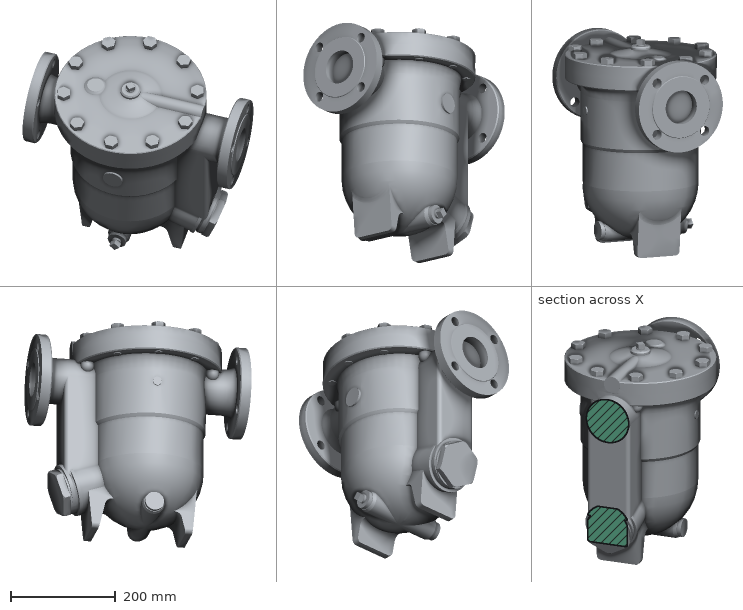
import cadquery as cq
import math


UPPER_RADIUS = 114.6
LOWER_RADIUS = 110.6
NECK_RADIUS = 119.0
STEP_TOP_Z = -93.5
STEP_BOTTOM_Z = -100.0
DOME_CENTER_Z = -174.0

LID_DIAMETER = 290.0
FLANGE_BOTTOM_Z = 25.5
PARTING_Z = 49.0
LID_TOP_Z = 73.3
FLANGE_BOTTOM_CHAMFER = 2.0
LID_TOP_CHAMFER = 1.5

BOLT_COUNT = 10
BOLT_CIRCLE_RADIUS = 127.5
BOLT_ACROSS_FLATS = 24.0
BOLT_HEAD_HEIGHT = 10.5
BOLT_HEAD_CHAMFER = 0.8
BOLT_DIAMETER = 16.0
BOLT_END_LENGTH = 1.2
BOLT_BOSS_DIAMETER = 26.0
BOLT_BOSS_DOME_Z = 20.0

CONE_BASE_RADIUS = 59.5
CONE_SHOULDER_RADIUS = 54.6
CONE_SHOULDER_HEIGHT = 1.2
HUB_DIAMETER = 38.0
HUB_BOTTOM_Z = 82.0
HUB_TOP_Z = 89.0
HUB_CHAMFER = 2.5
VENT_NECK_DIAMETER = 16.0
VENT_HEAD_BOTTOM_Z = 91.0
VENT_HEAD_TOP_Z = 100.2
VENT_SQUARE = 13.0
RIB_RADIUS = 16.5
RIB_CREST_Z = 82.0
LID_PAD_X = -69.5
LID_PAD_BASE_DIAMETER = 44.0
LID_PAD_SHOULDER_DIAMETER = 36.0
LID_PAD_SHOULDER_HEIGHT = 2.8
LID_PAD_TOP_DIAMETER = 32.0
LID_PAD_HEIGHT = 4.3

FACE_TO_FACE = 410.0
PIPE_CENTER_X = 15.0
PIPE_DIAMETER = 88.0
PIPE_BORE = 65.0
END_FLANGE_DIAMETER = 175.0
END_FLANGE_THICKNESS = 22.0
RAISED_FACE_DIAMETER = 120.0
RAISED_FACE_HEIGHT = 1.5
RAISED_FACE_TOP_DIAMETER = 118.0
END_FLANGE_CHAMFER = 2.0
HUB_END_DIAMETER = 96.0
HUB_LENGTH = 20.0
FLANGE_HOLE_DIAMETER = 19.0
FLANGE_HOLE_CIRCLE = 140.0
FLANGE_HOLE_COUNT = 4

PASSAGE_HALF_WIDTH = 43.8
PASSAGE_END_X = 166.0
PASSAGE_EDGE_RADIUS = 8.0
PASSAGE_LOW_Z = -195.0
PASSAGE_SEAM_RADIUS = 12.0

STRAINER_SLOPE = 19.0
STRAINER_X = 168.0
STRAINER_Z = -226.7
BRANCH_RADIUS = 49.5
BRANCH_LENGTH = 110.0
COLLAR_RADIUS = 51.0
COLLAR_START = -28.0
COLLAR_END = -22.0
GASKET_RADIUS = 45.0
SEAT_RADIUS = 48.5
SEAT_RISE = 4.0
SEAT_START = -17.0
SEAT_END = -10.0
PLUG_START = -6.5
PLUG_END = 7.5
PLUG_CORNER_DIAMETER = 95.0
PLUG_CHAMFER = 3.0

FOOT_WIDTH = 88.0
FOOT_BOTTOM_Z = -307.0
FOOT_CORNER_RADIUS = 9.0
FOOT_OUTER_OFFSET = 97.5
FOOT_INNER_OFFSET = 84.3
FOOT_OUTER_LEAN = 0.095
FOOT_INNER_LEAN = 0.245
FOOT_TOP_Z = -200.0
FOOT_SEAM_RADIUS = 17.0
FOOT_SEAM_LOW_Z = -250.0
FOOT_SEAM_INNER_X = -85.0

DRAIN_Z = -263.0
DRAIN_BOSS_DIAMETER = 43.0
DRAIN_BOSS_HALF_LENGTH = 82.0
DRAIN_BOSS_STRAIGHT_HALF_LENGTH = 75.5
DRAIN_BOSS_END_DIAMETER = 38.0
DRAIN_PLUG_DIAMETER = 36.0
DRAIN_PLUG_END = 90.0
DRAIN_NECK_DIAMETER = 18.0
DRAIN_SQUARE = 14.0
DRAIN_SQUARE_START = 94.5
DRAIN_SQUARE_END = 105.5

FRONT_PAD_DIAMETER = 38.0
FRONT_PAD_Z = -46.0
FRONT_PAD_REACH = 118.0
REAR_PAD_DIAMETER = 17.0
REAR_PAD_Z = -29.0
REAR_PAD_REACH = 116.8


def cylinder(start, direction, radius, length):
    return cq.Workplane(obj=cq.Solid.makeCylinder(radius, length, cq.Vector(*start), cq.Vector(*direction)))


def bolt_positions():
    for index in range(BOLT_COUNT):
        angle = math.radians(90 + index * 360 / BOLT_COUNT)
        x = BOLT_CIRCLE_RADIUS * math.cos(angle)
        y = BOLT_CIRCLE_RADIUS * math.sin(angle)
        yield x, y, index * 360 / BOLT_COUNT


def make_vessel():
    dome_drop = LOWER_RADIUS * math.sin(math.radians(45))
    neck_middle_radius = UPPER_RADIUS + (NECK_RADIUS - UPPER_RADIUS) / 4
    return (
        cq.Workplane("XZ")
        .moveTo(0, DOME_CENTER_Z - LOWER_RADIUS)
        .threePointArc((dome_drop, DOME_CENTER_Z - dome_drop), (LOWER_RADIUS, DOME_CENTER_Z))
        .lineTo(LOWER_RADIUS, STEP_BOTTOM_Z)
        .lineTo(UPPER_RADIUS, STEP_TOP_Z)
        .lineTo(UPPER_RADIUS, 0)
        .threePointArc((neck_middle_radius, FLANGE_BOTTOM_Z / 2), (NECK_RADIUS, FLANGE_BOTTOM_Z))
        .lineTo(0, FLANGE_BOTTOM_Z)
        .close()
        .revolve(360, (0, 0), (0, 1))
    )


def make_lid():
    lower = (
        cq.Workplane("XY", origin=(0, 0, FLANGE_BOTTOM_Z))
        .circle(LID_DIAMETER / 2)
        .extrude(PARTING_Z - FLANGE_BOTTOM_Z)
        .faces("<Z")
        .chamfer(FLANGE_BOTTOM_CHAMFER)
    )
    upper = (
        cq.Workplane("XY", origin=(0, 0, PARTING_Z))
        .circle(LID_DIAMETER / 2)
        .extrude(LID_TOP_Z - PARTING_Z)
        .faces(">Z")
        .chamfer(LID_TOP_CHAMFER)
    )
    return lower.union(upper, clean=False)


def make_bolt(x, y, turn):
    corner_radius = BOLT_ACROSS_FLATS / math.sqrt(3)
    head = (
        cq.Workplane("XY", origin=(x, y, LID_TOP_Z))
        .transformed(rotate=(0, 0, turn))
        .polygon(6, 2 * corner_radius)
        .extrude(BOLT_HEAD_HEIGHT)
    )
    rounding = (
        cq.Workplane("XY", origin=(x, y, LID_TOP_Z))
        .circle(corner_radius)
        .extrude(BOLT_HEAD_HEIGHT)
        .faces(">Z")
        .chamfer(BOLT_HEAD_CHAMFER, corner_radius - BOLT_ACROSS_FLATS / 2)
    )
    shank_bottom = FLANGE_BOTTOM_Z - BOLT_END_LENGTH
    shank = cylinder((x, y, shank_bottom), (0, 0, 1), BOLT_DIAMETER / 2, LID_TOP_Z - shank_bottom)
    return head.intersect(rounding).union(shank)


def make_bolt_boss(x, y):
    radius = BOLT_BOSS_DIAMETER / 2
    post = cylinder((x, y, BOLT_BOSS_DOME_Z), (0, 0, 1), radius, PARTING_Z - BOLT_BOSS_DOME_Z)
    dome = cq.Workplane("XY", origin=(x, y, BOLT_BOSS_DOME_Z)).sphere(radius)
    return post.union(dome)


def make_lid_center():
    hub_radius = HUB_DIAMETER / 2
    cone = (
        cq.Workplane("XZ")
        .moveTo(0, PARTING_Z)
        .lineTo(CONE_BASE_RADIUS, PARTING_Z)
        .lineTo(CONE_BASE_RADIUS, LID_TOP_Z)
        .lineTo(CONE_SHOULDER_RADIUS, LID_TOP_Z + CONE_SHOULDER_HEIGHT)
        .lineTo(hub_radius, HUB_BOTTOM_Z)
        .lineTo(hub_radius, HUB_TOP_Z - HUB_CHAMFER)
        .lineTo(hub_radius - HUB_CHAMFER, HUB_TOP_Z)
        .lineTo(0, HUB_TOP_Z)
        .close()
        .revolve(360, (0, 0), (0, 1))
    )
    neck = cylinder((0, 0, HUB_TOP_Z), (0, 0, 1), VENT_NECK_DIAMETER / 2, VENT_HEAD_BOTTOM_Z - HUB_TOP_Z)
    head = (
        cq.Workplane("XY", origin=(0, 0, VENT_HEAD_BOTTOM_Z))
        .transformed(rotate=(0, 0, 45))
        .rect(VENT_SQUARE, VENT_SQUARE)
        .extrude(VENT_HEAD_TOP_Z - VENT_HEAD_BOTTOM_Z)
    )
    return cone.union(neck).union(head)


def make_lid_rib():
    return (
        cq.Workplane("YZ", origin=(0, 0, RIB_CREST_Z - RIB_RADIUS))
        .circle(RIB_RADIUS)
        .extrude(LID_DIAMETER / 2)
    )


def make_lid_pad():
    shoulder_z = LID_TOP_Z + LID_PAD_SHOULDER_HEIGHT
    return (
        cq.Workplane("XZ", origin=(LID_PAD_X, 0, 0))
        .moveTo(0, LID_TOP_Z)
        .lineTo(LID_PAD_BASE_DIAMETER / 2, LID_TOP_Z)
        .lineTo(LID_PAD_SHOULDER_DIAMETER / 2, shoulder_z)
        .lineTo(LID_PAD_TOP_DIAMETER / 2, LID_TOP_Z + LID_PAD_HEIGHT)
        .lineTo(0, LID_TOP_Z + LID_PAD_HEIGHT)
        .close()
        .revolve(360, (0, 0), (0, 1))
    )


def make_pipe_end(side):
    """One pipe half with its weld-neck hub and flange; side is -1 (inlet) or +1 (outlet)."""
    face = FACE_TO_FACE / 2 + side * PIPE_CENTER_X
    rim_face = face - RAISED_FACE_HEIGHT
    flange_back = face - END_FLANGE_THICKNESS
    hub_start = flange_back - HUB_LENGTH
    pipe_radius = PIPE_DIAMETER / 2
    rim_radius = END_FLANGE_DIAMETER / 2
    hub_middle_radius = pipe_radius + (HUB_END_DIAMETER - PIPE_DIAMETER) / 8
    body = (
        cq.Workplane("XY")
        .moveTo(0, 0)
        .lineTo(0, pipe_radius)
        .lineTo(hub_start, pipe_radius)
        .threePointArc((hub_start + HUB_LENGTH / 2, hub_middle_radius), (flange_back, HUB_END_DIAMETER / 2))
        .lineTo(flange_back, rim_radius - END_FLANGE_CHAMFER)
        .lineTo(flange_back + END_FLANGE_CHAMFER, rim_radius)
        .lineTo(rim_face, rim_radius)
        .lineTo(rim_face, RAISED_FACE_DIAMETER / 2)
        .lineTo(face, RAISED_FACE_TOP_DIAMETER / 2)
        .lineTo(face, 0)
        .close()
        .revolve(360, (0, 0), (1, 0))
    )
    holes = (
        cq.Workplane("YZ", origin=(flange_back, 0, 0))
        .polarArray(FLANGE_HOLE_CIRCLE / 2, 45, 360, FLANGE_HOLE_COUNT)
        .circle(FLANGE_HOLE_DIAMETER / 2)
        .extrude(END_FLANGE_THICKNESS)
    )
    body = body.cut(holes)
    return body if side > 0 else body.mirror("YZ")


def make_bore(side):
    face = side * FACE_TO_FACE / 2 + PIPE_CENTER_X
    return cylinder((face, 0, 0), (-side, 0, 0), PIPE_BORE / 2, END_FLANGE_THICKNESS)


def strainer_point(station):
    slope = math.radians(STRAINER_SLOPE)
    return STRAINER_X + station * math.cos(slope), STRAINER_Z - station * math.sin(slope)


def make_passage():
    outline = [
        (0, 0),
        (PASSAGE_END_X, 0),
        (PASSAGE_END_X, PASSAGE_LOW_Z),
        strainer_point(COLLAR_START),
        strainer_point(-BRANCH_LENGTH),
        (0, DOME_CENTER_Z),
    ]
    return (
        cq.Workplane("XZ")
        .polyline(outline)
        .close()
        .extrude(PASSAGE_HALF_WIDTH, both=True)
        .edges("|Z and >X")
        .fillet(PASSAGE_EDGE_RADIUS)
    )


def strainer_axis():
    slope = math.radians(STRAINER_SLOPE)
    return cq.Vector(math.cos(slope), 0, -math.sin(slope))


def strainer_cylinder(radius, start, end, rise=0):
    """Cylinder along the branch axis, optionally raised square to that axis."""
    slope = math.radians(STRAINER_SLOPE)
    x, z = strainer_point(start)
    center = (x + rise * math.sin(slope), 0, z + rise * math.cos(slope))
    return cylinder(center, strainer_axis().toTuple(), radius, end - start)


def make_passage_and_branch():
    branch = strainer_cylinder(BRANCH_RADIUS, -BRANCH_LENGTH, COLLAR_START)
    joined = make_passage().union(branch)
    seam = cq.selectors.ParallelDirSelector(strainer_axis())
    return joined.edges(seam).edges(">Y or <Y").fillet(PASSAGE_SEAM_RADIUS)


def make_strainer_plug():
    slope = math.radians(STRAINER_SLOPE)
    axis = strainer_axis()
    collar = strainer_cylinder(COLLAR_RADIUS, COLLAR_START, COLLAR_END)
    gasket = strainer_cylinder(GASKET_RADIUS, COLLAR_END, PLUG_START)
    seat = strainer_cylinder(SEAT_RADIUS, SEAT_START, SEAT_END, SEAT_RISE)
    x, z = strainer_point(PLUG_START)
    hex_plane = cq.Plane(
        origin=(x, 0, z), xDir=(math.sin(slope), 0, math.cos(slope)), normal=axis.toTuple()
    )
    thickness = PLUG_END - PLUG_START
    rounding = (
        cq.Workplane(hex_plane)
        .circle(PLUG_CORNER_DIAMETER / 2)
        .extrude(thickness)
        .faces(cq.selectors.DirectionMinMaxSelector(axis))
        .chamfer(PLUG_CHAMFER)
    )
    plug = cq.Workplane(hex_plane).polygon(6, PLUG_CORNER_DIAMETER).extrude(thickness).intersect(rounding)
    return collar.union(gasket).union(seat).union(plug)


def make_foot(side, blend_start_z, blend_end_offset):
    """Leaning foot whose inner side blends by an arc into the dome."""
    half_width = FOOT_WIDTH / 2
    blend_start_offset = FOOT_INNER_OFFSET - FOOT_INNER_LEAN * (blend_start_z - FOOT_BOTTOM_Z)
    top_outer_offset = FOOT_OUTER_OFFSET + FOOT_OUTER_LEAN * (FOOT_TOP_Z - FOOT_BOTTOM_Z)
    blend_end_x = PIPE_CENTER_X + side * blend_end_offset
    blend_end_z = DOME_CENTER_Z - math.sqrt(LOWER_RADIUS**2 - half_width**2 - blend_end_x**2)

    def x_at(offset):
        return PIPE_CENTER_X + side * offset

    return (
        cq.Workplane("XZ")
        .moveTo(x_at(FOOT_OUTER_OFFSET), FOOT_BOTTOM_Z)
        .lineTo(x_at(FOOT_INNER_OFFSET), FOOT_BOTTOM_Z)
        .lineTo(x_at(blend_start_offset), blend_start_z)
        .tangentArcPoint((blend_end_x, blend_end_z), relative=False)
        .lineTo(blend_end_x, FOOT_TOP_Z)
        .lineTo(x_at(top_outer_offset), FOOT_TOP_Z)
        .close()
        .extrude(half_width, both=True)
        .faces("<Z")
        .edges("|X")
        .fillet(FOOT_CORNER_RADIUS)
    )


def make_drain():
    boss = (
        cq.Workplane("YZ", origin=(0, 0, DRAIN_Z))
        .moveTo(-DRAIN_BOSS_HALF_LENGTH, 0)
        .lineTo(-DRAIN_BOSS_HALF_LENGTH, DRAIN_BOSS_END_DIAMETER / 2)
        .lineTo(-DRAIN_BOSS_STRAIGHT_HALF_LENGTH, DRAIN_BOSS_DIAMETER / 2)
        .lineTo(DRAIN_BOSS_STRAIGHT_HALF_LENGTH, DRAIN_BOSS_DIAMETER / 2)
        .lineTo(DRAIN_BOSS_HALF_LENGTH, DRAIN_BOSS_END_DIAMETER / 2)
        .lineTo(DRAIN_BOSS_HALF_LENGTH, 0)
        .close()
        .revolve(360, (0, 0), (1, 0))
    )
    plugs = (
        cq.Workplane("XZ", origin=(0, 0, DRAIN_Z))
        .circle(DRAIN_PLUG_DIAMETER / 2)
        .extrude(DRAIN_PLUG_END, both=True)
    )
    neck = cylinder((0, 0, DRAIN_Z), (0, -1, 0), DRAIN_NECK_DIAMETER / 2, DRAIN_SQUARE_START)
    square = (
        cq.Workplane("XZ", origin=(0, -DRAIN_SQUARE_START, DRAIN_Z))
        .transformed(rotate=(0, 0, 45))
        .rect(DRAIN_SQUARE, DRAIN_SQUARE)
        .extrude(DRAIN_SQUARE_END - DRAIN_SQUARE_START)
    )
    return boss.union(plugs).union(neck).union(square)


def make_side_pads():
    front = cylinder((0, 0, FRONT_PAD_Z), (0, -1, 0), FRONT_PAD_DIAMETER / 2, FRONT_PAD_REACH)
    rear = cylinder((0, 0, REAR_PAD_Z), (0, 1, 0), REAR_PAD_DIAMETER / 2, REAR_PAD_REACH)
    return front.union(rear)


def make_vessel_with_inlet_foot():
    """Vessel and inlet-side foot, filleted where the outer foot face meets the dome."""
    body = make_vessel().union(make_foot(-1, -276.0, 61.0))
    half_width = FOOT_WIDTH / 2
    seam_box = cq.selectors.BoxSelector(
        (-LOWER_RADIUS, -half_width, FOOT_SEAM_LOW_Z), (FOOT_SEAM_INNER_X, half_width, DOME_CENTER_Z)
    )
    seam = body.edges(seam_box).edges("not(|Y)")
    return seam.fillet(FOOT_SEAM_RADIUS)


result = make_vessel_with_inlet_foot().union(make_pipe_end(-1)).union(make_pipe_end(1))
result = result.union(make_passage_and_branch()).union(make_strainer_plug())
result = result.union(make_foot(1, -258.0, 55.0))
result = result.union(make_drain()).union(make_side_pads())

lid = make_lid().union(make_lid_center(), clean=False).union(make_lid_rib(), clean=False)
lid = lid.union(make_lid_pad(), clean=False)
result = result.union(lid, clean=False)

for bolt_x, bolt_y, bolt_turn in bolt_positions():
    result = result.union(make_bolt(bolt_x, bolt_y, bolt_turn), clean=False)
    if abs(bolt_y) < PIPE_DIAMETER / 2:
        result = result.union(make_bolt_boss(bolt_x, bolt_y), clean=False)

result = result.cut(make_bore(-1), clean=False).cut(make_bore(1), clean=False)